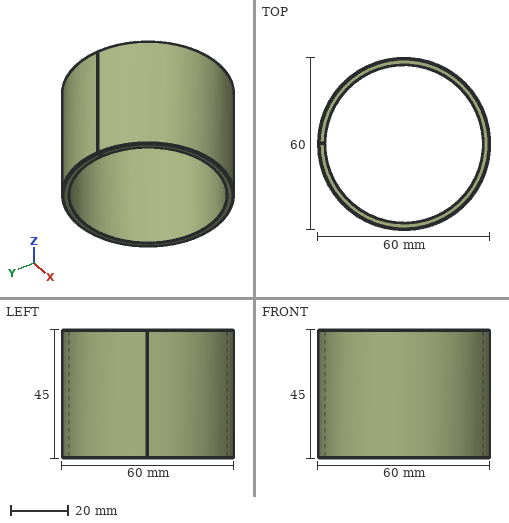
import cadquery as cq

outer_diameter = 60.0
wall_thickness = 2.5
length = 45.0
outer_chamfer = 0.5
inner_chamfer = 0.2
slit_angle = 1.0

outer_radius = outer_diameter / 2
inner_radius = outer_radius - wall_thickness


def wall_section():
    """Wall cross-section on the -X side, chamfered inside and outside at both ends."""
    return (
        cq.Workplane("XZ")
        .moveTo(-inner_radius, inner_chamfer)
        .lineTo(-inner_radius - inner_chamfer, 0)
        .lineTo(-outer_radius + outer_chamfer, 0)
        .lineTo(-outer_radius, outer_chamfer)
        .lineTo(-outer_radius, length - outer_chamfer)
        .lineTo(-outer_radius + outer_chamfer, length)
        .lineTo(-inner_radius - inner_chamfer, length)
        .lineTo(-inner_radius, length - inner_chamfer)
        .close()
    )


result = wall_section().revolve(360 - slit_angle, (0, 0, 0), (0, 1, 0))